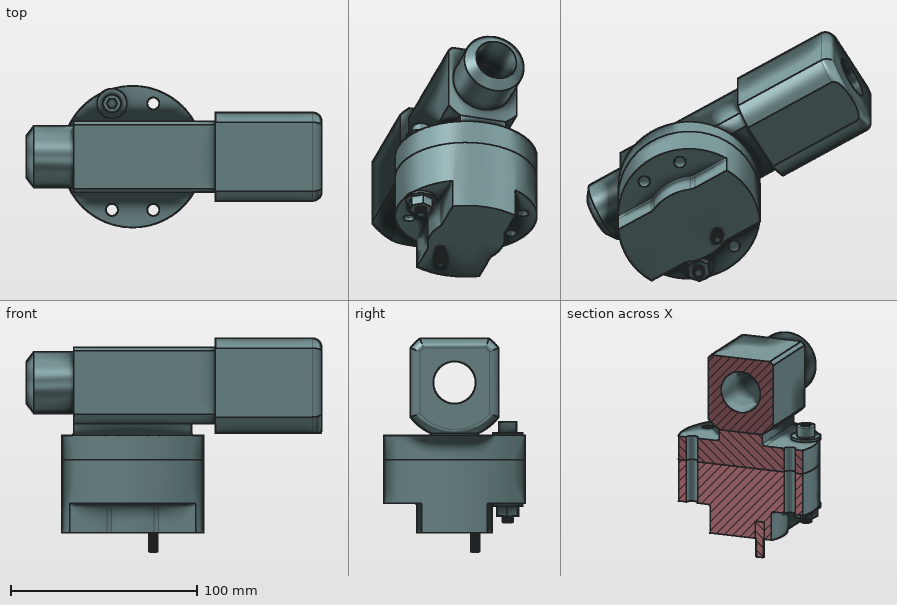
import cadquery as cq
import math

DISC_UNDERSIDE = 15.9
SEAM_HEIGHT = 39.2
FLANGE_TOP = 52.4
BORE_HEIGHT = 80.8

BASE_RADIUS = 38.1
PAD_HALF_WIDTH = 17.5
BLANK_HALF_WIDTH = 47.6
BULGE_RADIUS = 28.5
BULGE_PEAK = 20.3
BULGE_BLEND = 6.0
PAD_ROOT_FILLET = 1.0

HOLE_X = 11.1
HOLE_Y = 28.5
HOLE_DIAMETER = 6.4

NECK_LENGTH = 63.5
NECK_WIDTH = 25.4
NECK_FILLET = 1.3

BORE_RADIUS = 11.3
BODY_START = -NECK_LENGTH / 2
BODY_END = 44.5
BODY_HALF_WIDTH = 19.0
BODY_DROP = 22.2
BODY_CORNER_RADIUS = math.hypot(BODY_DROP, NECK_WIDTH / 2)

PIPE_START = -57.2
PIPE_RADIUS = 16.7
WELD_BEVEL_ANGLE = 37.5

BLOCK_END = 101.6
BLOCK_HALF_WIDTH = 23.8
BLOCK_DROP = 27.1
BLOCK_CORNER_RADIUS = 30.2
BLOCK_END_FILLET = 5.1

WASHER_DIAMETER = 16.0
WASHER_THICKNESS = 1.5
BOLT_DIAMETER = 6.0
BOLT_PITCH = 1.0
BOLT_TIP_LENGTH = 3.5
HEAD_DIAMETER = 9.7
HEAD_HEIGHT = 6.0
HEAD_FILLET = 0.5
SOCKET_FLATS = 5.0
SOCKET_DEPTH = 3.2
NUT_FLATS = 11.1
NUT_HEIGHT = 5.4
NUT_TURN = -5.0
STUD_X = 11.1
STUD_Y = 11.1
STUD_DIAMETER = 5.0
STUD_PITCH = 0.8
STUD_LENGTH = 10.3
STUD_EMBEDDED = 9.5

BOLT_X = -HOLE_X
BOLT_Y = HOLE_Y
NUT_SEAT = DISC_UNDERSIDE - WASHER_THICKNESS
HEAD_SEAT = FLANGE_TOP + WASHER_THICKNESS
NUT_UNDERSIDE = NUT_SEAT - NUT_HEIGHT

MARGIN = 0.3


def cylinder(radius, bottom, top, x=0, y=0):
    return cq.Workplane("XY", origin=(x, y, bottom)).circle(radius).extrude(top - bottom)


def bar_along_x(radius, start, end):
    return cq.Workplane("YZ", origin=(start, 0, BORE_HEIGHT)).circle(radius).extrude(end - start)


def across_corners(flats):
    return flats / math.cos(math.pi / 6)


def bolt_holes(bottom, top):
    """Cutter for the four clearance holes."""
    return (
        cq.Workplane("XY", origin=(0, 0, bottom))
        .rect(2 * HOLE_X, 2 * HOLE_Y, forConstruction=True)
        .vertices()
        .circle(HOLE_DIAMETER / 2)
        .extrude(top - bottom)
    )


def turned_square(half_width, drop, corner_radius, start, end):
    """Square bar along X whose corners are turned to a cylinder about the bore axis."""
    square = (
        cq.Workplane("YZ", origin=(start, 0, BORE_HEIGHT))
        .center(0, (half_width - drop) / 2)
        .rect(2 * half_width, half_width + drop)
        .extrude(end - start)
    )
    return square.intersect(bar_along_x(corner_radius, start, end))


def threaded_rod(radius, pitch, bottom, thread_top, top, x, y):
    """Rod with V-shaped ridges from its tapered tip up to thread_top, plain above."""
    ridges = round((thread_top - bottom) / pitch)
    step = (thread_top - bottom) / ridges
    root = radius - step / 2
    points = [(0, bottom), (root - step / 2, bottom)]
    for ridge in range(ridges):
        ridge_bottom = bottom + ridge * step
        points += [(radius, ridge_bottom + step / 2), (root, ridge_bottom + step)]
    points += [(radius, thread_top), (radius, top), (0, top)]
    return cq.Workplane("XZ").polyline(points).close().revolve().translate((x, y, 0))


def pad_slab():
    """Lower pad with a blended bulge on each flat, longer than the base is wide."""
    slab = cq.Workplane("XY").rect(2 * BLANK_HALF_WIDTH, 2 * PAD_HALF_WIDTH).extrude(DISC_UNDERSIDE)
    bulge_offset = BULGE_RADIUS - BULGE_PEAK
    lens = cylinder(BULGE_RADIUS, 0, DISC_UNDERSIDE, y=bulge_offset).intersect(
        cylinder(BULGE_RADIUS, 0, DISC_UNDERSIDE, y=-bulge_offset)
    )
    corner_x = math.sqrt(BULGE_RADIUS**2 - (PAD_HALF_WIDTH + bulge_offset) ** 2)
    bulge_corners = cq.selectors.BoxSelector(
        (-corner_x - MARGIN, -BULGE_PEAK, 0), (corner_x + MARGIN, BULGE_PEAK, DISC_UNDERSIDE)
    )
    return slab.union(lens).edges("|Z").edges(bulge_corners).fillet(BULGE_BLEND)


def make_base():
    """Round disc above the pad, both turned to the base radius, with bolt and stud holes."""
    blank = (
        cq.Workplane("XY", origin=(0, 0, DISC_UNDERSIDE))
        .rect(2 * BLANK_HALF_WIDTH, 2 * BLANK_HALF_WIDTH)
        .extrude(SEAM_HEIGHT - DISC_UNDERSIDE)
        .union(pad_slab())
    )
    root_edges = cq.selectors.BoxSelector(
        (-BASE_RADIUS, -BULGE_PEAK - MARGIN, DISC_UNDERSIDE - MARGIN),
        (BASE_RADIUS, BULGE_PEAK + MARGIN, DISC_UNDERSIDE + MARGIN),
    )
    blank = blank.edges(root_edges).fillet(PAD_ROOT_FILLET)
    base = blank.intersect(cylinder(BASE_RADIUS, 0, SEAM_HEIGHT))
    stud_hole = cylinder(STUD_DIAMETER / 2, 0, STUD_EMBEDDED, STUD_X, STUD_Y)
    return base.cut(bolt_holes(0, SEAM_HEIGHT)).cut(stud_hole)


def make_flange():
    """Round flange with a filleted rectangular neck that carries the body."""
    neck = (
        cq.Workplane("XY", origin=(0, 0, FLANGE_TOP))
        .rect(NECK_LENGTH, NECK_WIDTH)
        .extrude(BORE_HEIGHT - BODY_DROP - FLANGE_TOP)
    )
    flange = cylinder(BASE_RADIUS, SEAM_HEIGHT, FLANGE_TOP).union(neck)
    foot_edges = cq.selectors.BoxSelector(
        (-NECK_LENGTH / 2 - MARGIN, -NECK_WIDTH / 2 - MARGIN, FLANGE_TOP - MARGIN),
        (NECK_LENGTH / 2 + MARGIN, NECK_WIDTH / 2 + MARGIN, FLANGE_TOP + MARGIN),
    )
    flange = flange.edges(foot_edges).edges("|X or |Y").fillet(NECK_FILLET)
    return flange.cut(bolt_holes(SEAM_HEIGHT, FLANGE_TOP))


def make_body():
    body = turned_square(BODY_HALF_WIDTH, BODY_DROP, BODY_CORNER_RADIUS, BODY_START, BODY_END)
    return body.cut(bar_along_x(BORE_RADIUS, BODY_START, BODY_END))


def make_pipe_stub():
    """Short pipe whose free end is bevelled for welding down to its bore."""
    wall = PIPE_RADIUS - BORE_RADIUS
    bevel_length = wall * math.tan(math.radians(WELD_BEVEL_ANGLE))
    wall_profile = [
        (PIPE_START, BORE_RADIUS),
        (PIPE_START + bevel_length, PIPE_RADIUS),
        (BODY_START, PIPE_RADIUS),
        (BODY_START, BORE_RADIUS),
    ]
    pipe = cq.Workplane("XY").polyline(wall_profile).close().revolve(360, (0, 0, 0), (1, 0, 0))
    return pipe.translate((0, 0, BORE_HEIGHT))


def make_end_block():
    block = turned_square(
        BLOCK_HALF_WIDTH, BLOCK_CORNER_RADIUS + MARGIN, BLOCK_CORNER_RADIUS, BODY_END, BLOCK_END
    )
    block = block.faces(">X").edges().fillet(BLOCK_END_FILLET)
    above_underside = turned_square(
        BLOCK_HALF_WIDTH, BLOCK_DROP, 2 * BLOCK_CORNER_RADIUS, BODY_END, BLOCK_END
    )
    block = block.intersect(above_underside)
    return block.cut(bar_along_x(BORE_RADIUS, BODY_END, BLOCK_END))


def make_washer(bottom):
    washer = cylinder(WASHER_DIAMETER / 2, bottom, bottom + WASHER_THICKNESS, BOLT_X, BOLT_Y)
    return washer.faces(">Z").workplane(origin=(BOLT_X, BOLT_Y, 0)).hole(HOLE_DIAMETER)


def make_nut():
    nut = (
        cq.Workplane("XY")
        .polygon(6, across_corners(NUT_FLATS))
        .circle(BOLT_DIAMETER / 2)
        .extrude(NUT_HEIGHT)
        .rotate((0, 0, 0), (0, 0, 1), NUT_TURN)
    )
    return nut.translate((BOLT_X, BOLT_Y, NUT_UNDERSIDE))


def make_bolt():
    head = (
        cylinder(HEAD_DIAMETER / 2, HEAD_SEAT, HEAD_SEAT + HEAD_HEIGHT, BOLT_X, BOLT_Y)
        .faces(">Z")
        .edges()
        .fillet(HEAD_FILLET)
        .faces(">Z")
        .workplane(origin=(BOLT_X, BOLT_Y, 0))
        .polygon(6, across_corners(SOCKET_FLATS))
        .cutBlind(-SOCKET_DEPTH)
    )
    tip = NUT_UNDERSIDE - BOLT_TIP_LENGTH
    shank = threaded_rod(BOLT_DIAMETER / 2, BOLT_PITCH, tip, NUT_UNDERSIDE, HEAD_SEAT, BOLT_X, BOLT_Y)
    return head.union(shank)


def make_stud():
    return threaded_rod(STUD_DIAMETER / 2, STUD_PITCH, -STUD_LENGTH, 0, STUD_EMBEDDED, STUD_X, STUD_Y)


base = make_base()
flange = make_flange()
body = make_body()
pipe_stub = make_pipe_stub()
end_block = make_end_block()
washers = [make_washer(bottom) for bottom in (NUT_SEAT, FLANGE_TOP)]
nut = make_nut()
bolt = make_bolt()
stud = make_stud()

result = cq.Compound.makeCompound([
    base.val(),
    flange.val(),
    body.val(),
    pipe_stub.val(),
    end_block.val(),
    *[washer.val() for washer in washers],
    nut.val(),
    bolt.val(),
    stud.val(),
])